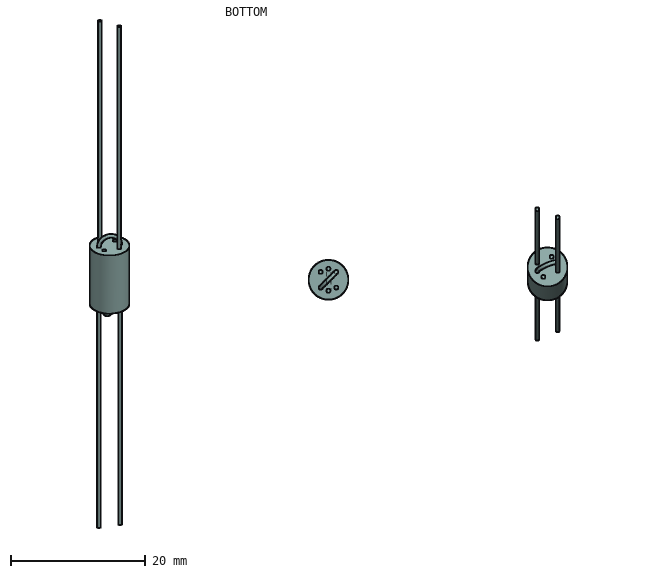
import cadquery as cq
import math

total_height = 86.2
bead_length = 10.0
bead_diameter = 5.95
bead_top = bead_length / 2
bead_bottom = -bead_top

wire_diameter = 0.6
corner_offset = 1.16
center_hole_offset = 1.6

corner_radius = corner_offset * math.sqrt(2)
corner_lead_angle = 45.0
hairpin_angle = -45.0
center_angle = 90.0


def plan_point(radius, angle):
    """XY position at a polar radius and an angle in degrees."""
    return (radius * math.cos(math.radians(angle)), radius * math.sin(math.radians(angle)))


def hole_pair(radius, angle):
    """Two positions on opposite sides of the axis."""
    return [plan_point(radius, angle), plan_point(-radius, angle)]


def make_bead():
    """Cylinder with six through holes."""
    return (
        cq.Workplane("XY", origin=(0, 0, bead_bottom))
        .circle(bead_diameter / 2)
        .extrude(bead_length)
        .pushPoints(upward_positions + downward_positions + hairpin_positions)
        .circle(wire_diameter / 2)
        .cutThruAll()
    )


def make_lead(position, direction):
    """Straight wire through the bead, rising (+1) or falling (-1) to the end of the part."""
    lead_length = total_height / 2 + bead_top
    return (
        cq.Workplane("XY", origin=(*position, -direction * bead_top))
        .circle(wire_diameter / 2)
        .extrude(direction * lead_length)
    )


def make_half_ring(position, face_height, direction):
    """Half ring outside one bead face, from a position to its opposite across the axis."""
    x, y = position
    path = cq.Workplane(cq.Edge.makeThreePointArc(
        cq.Vector(x, y, face_height),
        cq.Vector(0, 0, face_height + direction * math.hypot(x, y)),
        cq.Vector(-x, -y, face_height),
    ))
    section = cq.Workplane("XY", origin=(x, y, face_height)).circle(wire_diameter / 2)
    return section.sweep(path)


def make_hairpin():
    """Bent wire below the bead, with two legs that end flush with the bead top."""
    legs = (
        cq.Workplane("XY", origin=(0, 0, bead_bottom))
        .pushPoints(hairpin_positions)
        .circle(wire_diameter / 2)
        .extrude(bead_length)
    )
    return make_half_ring(hairpin_positions[0], bead_bottom, -1).union(legs)


upward_positions = hole_pair(corner_radius, corner_lead_angle)
downward_positions = hole_pair(center_hole_offset, center_angle)
hairpin_positions = hole_pair(corner_radius, hairpin_angle)

bead = make_bead()
upward_leads = [make_lead(position, 1) for position in upward_positions]
downward_leads = [make_lead(position, -1) for position in downward_positions]
top_loop = make_half_ring(downward_positions[0], bead_top, 1)
hairpin = make_hairpin()

result = cq.Compound.makeCompound([
    bead.val(),
    *[lead.val() for lead in upward_leads + downward_leads],
    top_loop.val(),
    hairpin.val(),
])